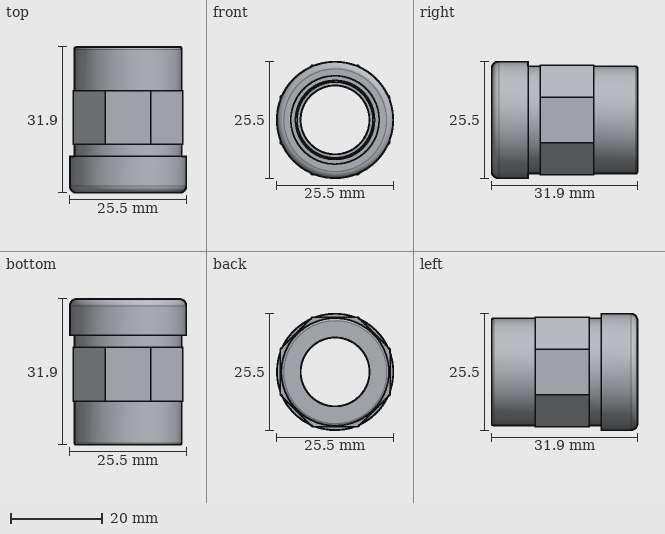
import cadquery as cq
import math

length = 31.9
collar_diameter = 25.5
collar_length = 7.98
collar_rounding = 1.53
sleeve_diameter = 23.5
sleeve_rounding = 0.5
grip_sides = 8
grip_across_flats = 24.0
grip_start = 10.6
grip_length = 11.77

seat_diameter = 19.3
seat_depth = 1.0
recess_diameter = 17.3
recess_depth = 2.0
socket_diameter = 16.6
socket_depth = length / 2
bore_diameter = 15.0

front_y = -length / 2


def section_plane(start):
    """Sketch plane across the axis, at a distance behind the front face."""
    return cq.Workplane("XZ", origin=(0, front_y + start, 0))


def cylinder(diameter, depth, start=0.0):
    """Cylinder running back along +Y from its start."""
    return section_plane(start).circle(diameter / 2).extrude(-depth)


def make_collar():
    """Front collar with a rounded front edge."""
    return cylinder(collar_diameter, collar_length).faces("<Y").edges().fillet(collar_rounding)


def make_sleeve():
    """Sleeve behind the collar with a rounded back edge."""
    sleeve = cylinder(sleeve_diameter, length - collar_length, collar_length)
    return sleeve.faces(">Y").edges().fillet(sleeve_rounding)


def make_grip():
    """Octagon with flats facing the X and Z axes."""
    corner_diameter = grip_across_flats / math.cos(math.pi / grip_sides)
    grip = section_plane(grip_start).polygon(grip_sides, corner_diameter).extrude(-grip_length)
    return grip.rotate((0, 0, 0), (0, 1, 0), 180 / grip_sides)


result = make_collar().union(make_sleeve()).union(make_grip())

bore_steps = [
    (bore_diameter, length),
    (socket_diameter, socket_depth),
    (recess_diameter, recess_depth),
    (seat_diameter, seat_depth),
]
for step_diameter, step_depth in bore_steps:
    result = result.cut(cylinder(step_diameter, step_depth))